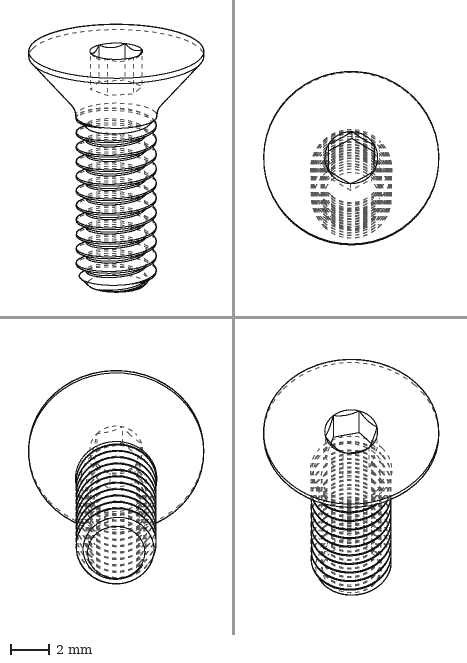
import cadquery as cq
import math

INCH = 25.4
EPS = 0.02

length = 0.5 * INCH
head_radius = 9.12 / 2
rim_height = 0.295
head_half_angle = math.radians(82 / 2)

collar_radius = 2.12
collar_depth = 3.53
neck_radius = 1.07

socket_flats = 3 / 32 * INCH
socket_corners = socket_flats / math.cos(math.pi / 6)
socket_depth = 2.0

major_radius = 0.164 * INCH / 2
pitch = INCH / 32
flank_angle = math.radians(30)
crest_flat = pitch / 8
root_flat = pitch / 8
thread_depth = (pitch - crest_flat - root_flat) / 2 / math.tan(flank_angle)
minor_radius = major_radius - thread_depth
crest_depth_on_x = 11.25
tip_radius = 1.49


def make_head():
    """Rim, cone, concave neck and collar, turned as one profile."""
    neck_center_radius = collar_radius + neck_radius
    cone_end_radius = neck_center_radius - neck_radius * math.cos(head_half_angle)
    cone_end = -rim_height - (head_radius - cone_end_radius) / math.tan(head_half_angle)
    neck_center = cone_end - neck_radius * math.sin(head_half_angle)
    middle_angle = head_half_angle / 2
    neck_middle = (
        neck_center_radius - neck_radius * math.cos(middle_angle),
        neck_center + neck_radius * math.sin(middle_angle),
    )
    return (
        cq.Workplane("XZ")
        .lineTo(head_radius, 0)
        .lineTo(head_radius, -rim_height)
        .lineTo(cone_end_radius, cone_end)
        .threePointArc(neck_middle, (collar_radius, neck_center))
        .lineTo(collar_radius, -collar_depth)
        .lineTo(0, -collar_depth)
        .close()
        .revolve(360, (0, 0), (0, 1))
    )


def make_runout():
    """45 degree cone under the collar where the thread groove fades out."""
    height = collar_radius - minor_radius + EPS
    return (
        cq.Workplane("XZ", origin=(0, 0, -collar_depth))
        .moveTo(0, EPS)
        .lineTo(collar_radius, EPS)
        .lineTo(collar_radius, 0)
        .lineTo(collar_radius - height, -height)
        .lineTo(0, -height)
        .close()
        .revolve(360, (0, 0), (0, 1))
    )


def make_thread_groove():
    """Right-hand helical groove that runs past both ends of the shank."""
    turns_below_crest = math.ceil((length - crest_depth_on_x) / pitch) + 1
    first_groove_depth = crest_depth_on_x - pitch / 2
    start = -first_groove_depth - turns_below_crest * pitch
    turns = math.ceil((-collar_depth - start) / pitch) + 1
    helix = cq.Wire.makeHelix(pitch, turns * pitch, minor_radius, center=cq.Vector(0, 0, start))
    outer_radius = major_radius + EPS
    root_half = root_flat / 2
    mouth_half = root_half + (outer_radius - minor_radius) * math.tan(flank_angle)
    return (
        cq.Workplane("XZ")
        .moveTo(minor_radius, start - root_half)
        .lineTo(outer_radius, start - mouth_half)
        .lineTo(outer_radius, start + mouth_half)
        .lineTo(minor_radius, start + root_half)
        .close()
        .sweep(cq.Workplane(helix), isFrenet=True)
    )


def make_shank():
    """Threaded rod with a 45 degree chamfer at the tip."""
    rod_top = -collar_depth + EPS
    chamfer = major_radius - tip_radius
    rod = (
        cq.Workplane("XY", origin=(0, 0, -length))
        .circle(major_radius)
        .extrude(length + rod_top)
        .faces("<Z")
        .chamfer(chamfer)
    )
    return rod.cut(make_thread_groove())


def make_socket():
    """Hex recess, corners on the Y axis, with a 45 degree countersink."""
    corner_radius = socket_corners / 2
    hexagon = (
        cq.Workplane("XY")
        .transformed(rotate=(0, 0, 90))
        .polygon(6, socket_corners)
        .extrude(-socket_depth)
    )
    countersink = (
        cq.Workplane("XZ")
        .lineTo(corner_radius, 0)
        .lineTo(0, -corner_radius)
        .close()
        .revolve(360, (0, 0), (0, 1))
    )
    return hexagon.union(countersink)


result = make_shank().union(make_runout()).union(make_head()).cut(make_socket())